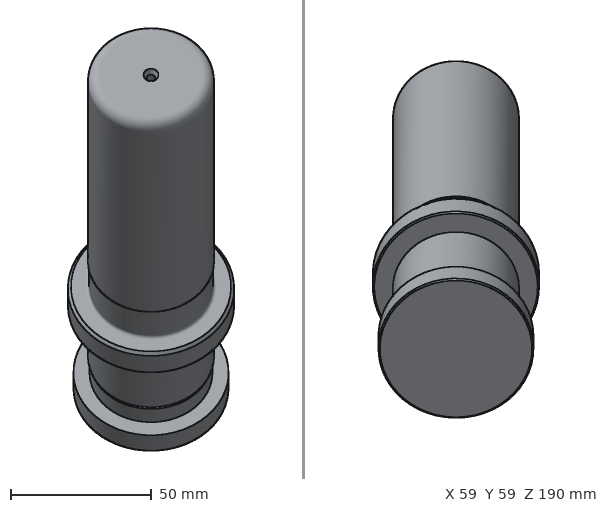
import cadquery as cq
import math

total_height = 190.0
shaft_radius = 22.5
relief_radius = 22.0
collar_diameter = 59.0
collar_radius = collar_diameter / 2

relief_top = 77.5
relief_step_chamfer = 0.4
collar_top = 62.0
collar_bottom = 50.2
collar_top_chamfer = 1.1
collar_bottom_chamfer = 0.5
collar_root_fillet = 1.1
undercut_radius = 21.3
undercut_height = 0.4
undercut_taper_height = 1.1
pillar_bottom = 18.0
pillar_end_chamfer = 1.9
crown_radius = 4.0

centre_hole_radius = 1.5
centre_mouth_radius = 2.7
centre_hole_depth = 5.7
centre_mouth_slope = math.radians(30)
drill_tip_slope = math.radians(60)

cap_neck_radius = 21.8
cap_flange_radius = 27.5
cap_flange_height = 10.0
cap_bottom_chamfer = 0.5


def revolve_about_z(profile):
    """Close a profile of (radius, height) points and turn it about Z."""
    return profile.close().revolve(360, (0, 0, 0), (0, 1, 0))


def make_centre_hole():
    """Conical mouth, straight bore and drill tip, as a cutting shape."""
    mouth_depth = (centre_mouth_radius - centre_hole_radius) / math.tan(centre_mouth_slope)
    tip_depth = centre_hole_radius / math.tan(drill_tip_slope)
    bore_bottom = total_height - centre_hole_depth
    profile = (
        cq.Workplane("XZ")
        .moveTo(0, total_height)
        .lineTo(centre_mouth_radius, total_height)
        .lineTo(centre_hole_radius, total_height - mouth_depth)
        .lineTo(centre_hole_radius, bore_bottom)
        .lineTo(0, bore_bottom - tip_depth)
    )
    return revolve_about_z(profile)


def make_pillar():
    """Round-topped shaft with a relief, a collar, an undercut and a chamfered shank."""
    undercut_bottom = collar_bottom - undercut_height
    shank_top = undercut_bottom - undercut_taper_height
    profile = (
        cq.Workplane("XZ")
        .moveTo(0, pillar_bottom)
        .lineTo(shaft_radius - pillar_end_chamfer, pillar_bottom)
        .lineTo(shaft_radius, pillar_bottom + pillar_end_chamfer)
        .lineTo(shaft_radius, shank_top)
        .lineTo(undercut_radius, undercut_bottom)
        .lineTo(undercut_radius, collar_bottom)
        .lineTo(collar_radius - collar_bottom_chamfer, collar_bottom)
        .lineTo(collar_radius, collar_bottom + collar_bottom_chamfer)
        .lineTo(collar_radius, collar_top - collar_top_chamfer)
        .lineTo(collar_radius - collar_top_chamfer, collar_top)
        .lineTo(relief_radius + collar_root_fillet, collar_top)
        .radiusArc((relief_radius, collar_top + collar_root_fillet), collar_root_fillet)
        .lineTo(relief_radius, relief_top - relief_step_chamfer)
        .lineTo(shaft_radius, relief_top)
        .lineTo(shaft_radius, total_height - crown_radius)
        .radiusArc((shaft_radius - crown_radius, total_height), -crown_radius)
        .lineTo(0, total_height)
    )
    return revolve_about_z(profile).cut(make_centre_hole())


def make_end_cap():
    """Flanged disc whose neck meets the lower end of the pillar."""
    profile = (
        cq.Workplane("XZ")
        .lineTo(cap_flange_radius - cap_bottom_chamfer, 0)
        .lineTo(cap_flange_radius, cap_bottom_chamfer)
        .lineTo(cap_flange_radius, cap_flange_height)
        .lineTo(cap_neck_radius, cap_flange_height)
        .lineTo(cap_neck_radius, pillar_bottom)
        .lineTo(0, pillar_bottom)
    )
    return revolve_about_z(profile)


pillar = make_pillar()
end_cap = make_end_cap()
result = cq.Compound.makeCompound([pillar.val(), end_cap.val()])